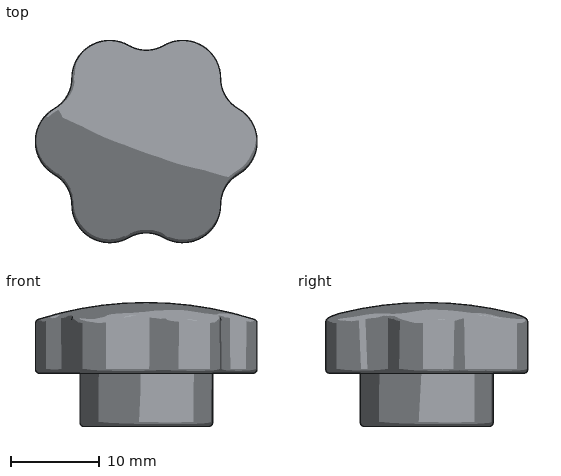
import cadquery as cq
import math

lobe_count = 6
knob_radius = 12.5
knob_width = 22.8
total_height = 14.0

hub_diameter = 15.0
hub_height = 6.0
hub_edge_fillet = 0.5

dome_radius = 40.0
head_edge_fillet = 0.5

pitch = 2 * math.pi / lobe_count
half_pitch = pitch / 2
lobe_centre = (knob_radius - knob_width / 2) / (1 - math.cos(half_pitch))
lobe_radius = knob_radius - lobe_centre

valley_centre = 2 * lobe_centre * math.cos(half_pitch)
valley_radius = lobe_centre - lobe_radius


def polar(radius, angle):
    """Point at a radius and angle (radians) around the axis."""
    return (radius * math.cos(angle), radius * math.sin(angle))


def lobe_end(lobe_angle, side):
    """Tangent point between a lobe and the valley on its +1 or -1 side."""
    centre_x, centre_y = polar(lobe_centre, lobe_angle)
    offset_x, offset_y = polar(lobe_radius, lobe_angle + side * pitch)
    return (centre_x + offset_x, centre_y + offset_y)


def make_head():
    """Lobed prism cut to a spherical dome, with rounded top and bottom rims."""
    outline = cq.Workplane("XY").workplane(offset=hub_height).moveTo(*lobe_end(0, -1))
    for index in range(lobe_count):
        angle = index * pitch
        next_angle = angle + pitch
        valley_floor = polar(valley_centre - valley_radius, angle + half_pitch)
        outline = outline.threePointArc(polar(knob_radius, angle), lobe_end(angle, 1))
        outline = outline.threePointArc(valley_floor, lobe_end(next_angle, -1))
    prism = outline.close().extrude(total_height - hub_height)
    dome = cq.Workplane("XY").sphere(dome_radius)
    dome = dome.translate((0, 0, total_height - dome_radius))
    return prism.intersect(dome).edges("not(|Z)").fillet(head_edge_fillet)


def make_hub():
    """Round hub with a rounded lower rim."""
    hub = cq.Workplane("XY").circle(hub_diameter / 2).extrude(hub_height)
    return hub.faces("<Z").edges().fillet(hub_edge_fillet)


result = make_hub().union(make_head())